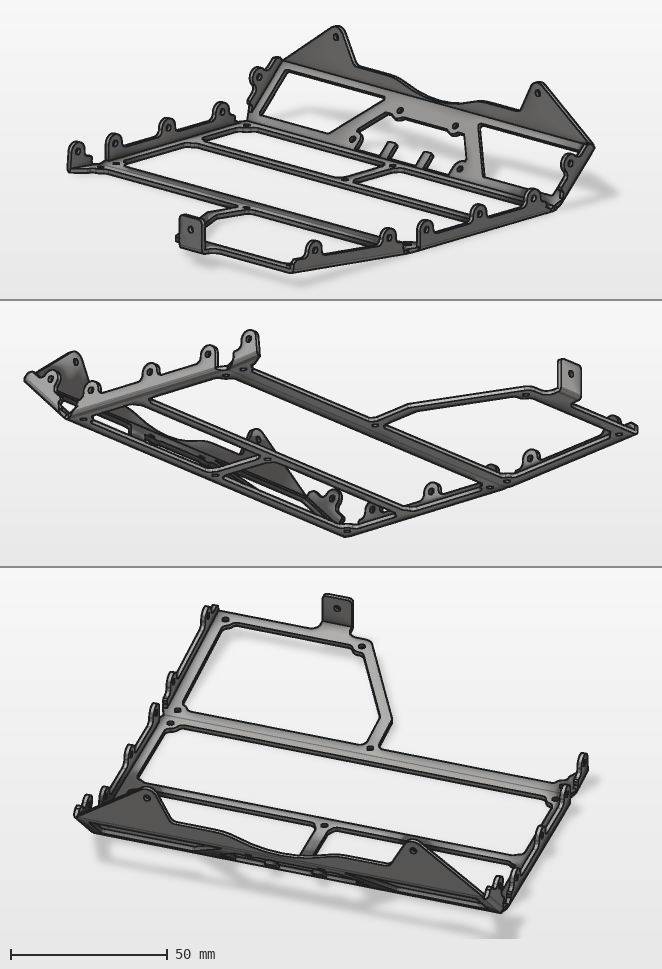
import cadquery as cq
import math


thickness = 1.5
overall_width = 140.0
overall_length = 145.0
overall_height = 34.0
half_width = overall_width / 2 - thickness

rear_bend_y = 54.5
front_bend_y = -12.6
rear_angle = 45.0
front_angle = 5.2

hole_diameter = 2.0
boss_radius = 3.0
corner_radius = 2.0
boss_x = 65.0
window_half_width = 65.4
post_half_width = 2.0

base_length = rear_bend_y - front_bend_y
rear_length = (overall_length / 2 - thickness - rear_bend_y) / math.cos(math.radians(rear_angle))

flange_height = 3.0
tab_hole_height = 5.2
start_corner = 0.6
end_corner = 1.3
bend_relief = 0.3
relief_run = 2.9
foot_rise = 1.2

base_rear_margin = 3.3
crossbar_front = 25.2
crossbar_rear = 28.7
base_front_edge = -9.1
rear_boss_y = 50.9
post_boss_y = 29.0
front_boss_y = -8.8

rear_window_low = 3.2
rear_window_high = 20.7
rear_window_low_x = 34.4
rear_window_high_x = 20.0
rear_window_radius = 0.9
bay_low = 0.6
bay_high = 15.7
bay_shoulder = 7.5
bay_half_top = 17.4
bay_half_width = 24.0
bay_half_mouth = 20.9
bay_radius = 0.9
bay_upper_boss = (12.3, 17.5)
bay_lower_boss = (23.9, 3.6)
finger_x = 8.0
finger_width = 3.5
finger_length = 6.2
finger_radius = 0.7

back_height = overall_height - thickness - rear_length * math.sin(math.radians(rear_angle))
ear_x = 45.0
ear_radius = 3.5
ear_foot_x = 36.8
ear_foot_radius = 2.5
back_flat_height = 4.6
valley_radius = 41.9
shoulder_radius = 20.3
valley_half_width = 15.0

front_length = 54.1
front_bar = 3.9
front_boss_near = 3.3
front_boss_far = 50.5
leg_boss_x = 19.0
leg_bend = 19.1
leg_slope = 1.83
leg_corner_radius = 3.5
front_window_x = 64.8
front_window_far = 50.0
arm_straight = 8.4
notch_radius = 1.5
front_tabs = [10.5, 44.5]
arm_length = front_tabs[0] + boss_radius
front_tab_x = 30.2
front_tab_width = 10.0
front_tab_height = 10.0
front_tab_hole = 6.0
front_tab_root_radius = 3.0
front_tab_corner = 1.5


def sheet(points):
    """Flat sheet with the given outline, its upper face at Z = 0."""
    return cq.Workplane("XY").polyline(points).close().extrude(-thickness)


def box_sheet(x_min, x_max, y_min, y_max):
    return sheet([(x_min, y_min), (x_max, y_min), (x_max, y_max), (x_min, y_max)])


def discs(centres, radius):
    return cq.Workplane("XY").pushPoints(centres).circle(radius).extrude(-thickness)


def opening(points, bosses=(), radius=corner_radius):
    """Sheet cutter that leaves round bosses standing and has rounded corners."""
    cutter = sheet(points)
    if bosses:
        cutter = cutter.cut(discs(bosses, boss_radius))
    return cutter.edges("|Z").fillet(radius)


def both_sides(points):
    return [(side * x, y) for x, y in points for side in (-1, 1)]


def mirrored(shape):
    return shape.union(shape.mirror("YZ"))


def fold(flat, angle, bend_y, x_min, x_max):
    """Fold a flat panel up by angle about the line Y = bend_y, adding the outer bend round."""
    half = math.radians(angle / 2)
    full = math.radians(angle)
    bend = (
        cq.Workplane("YZ", origin=(x_min, 0, 0))
        .moveTo(0, 0)
        .lineTo(0, -thickness)
        .threePointArc(
            (thickness * math.sin(half), -thickness * math.cos(half)),
            (thickness * math.sin(full), -thickness * math.cos(full)),
        )
        .close()
        .extrude(x_max - x_min)
    )
    folded = flat.rotate((0, 0, 0), (1, 0, 0), angle)
    return folded.union(bend).translate((0, bend_y, 0))


def side_flange(bend_end, start, end, tabs):
    """Upright flange on the +X edge with round drilled tabs, plus its rounded bend."""
    foot = bend_relief + relief_run
    outer_x = half_width + thickness
    bend = sheet([(half_width, bend_relief), (outer_x, foot), (outer_x, end), (half_width, bend_end)])
    bend_round = (
        cq.Workplane("XZ", origin=(half_width, 0, 0)).circle(thickness).extrude(-max(bend_end, end))
    )

    outline = (
        cq.Workplane("YZ", origin=(half_width, 0, 0))
        .moveTo(foot, 0)
        .lineTo(start, foot_rise)
        .lineTo(start, flange_height - start_corner)
        .lineTo(start + start_corner, flange_height)
    )
    arc_inset = corner_radius * (1 - math.sqrt(0.5))
    shoulder = flange_height + corner_radius
    ends_in_tab = False
    for centre in tabs:
        near = centre - boss_radius
        far = centre + boss_radius
        ends_in_tab = far >= end
        outline = (
            outline.lineTo(near - corner_radius, flange_height)
            .threePointArc((near - arc_inset, flange_height + arc_inset), (near, shoulder))
            .lineTo(near, tab_hole_height)
            .threePointArc((centre, tab_hole_height + boss_radius), (far, tab_hole_height))
        )
        if not ends_in_tab:
            outline = outline.lineTo(far, shoulder).threePointArc(
                (far + arc_inset, flange_height + arc_inset), (far + corner_radius, flange_height)
            )
    if not ends_in_tab:
        outline = outline.lineTo(end - end_corner, flange_height).lineTo(end, flange_height - end_corner)
    plate = outline.lineTo(end, 0).close().extrude(thickness)

    holes = (
        cq.Workplane("YZ", origin=(half_width, 0, 0))
        .pushPoints([(centre, tab_hole_height) for centre in tabs])
        .circle(hole_diameter / 2)
        .extrude(thickness)
    )
    return bend.intersect(bend_round).union(plate).cut(holes)


def base_panel():
    panel = box_sheet(-half_width, half_width, front_bend_y, rear_bend_y)
    rear_edge = rear_bend_y - base_rear_margin

    rear_window = opening(
        [
            (post_half_width, crossbar_rear),
            (window_half_width, crossbar_rear),
            (window_half_width, rear_edge),
            (post_half_width, rear_edge),
        ],
        [
            (0, rear_boss_y),
            (0, post_boss_y),
            (boss_x, rear_boss_y),
            (boss_x, (crossbar_front + crossbar_rear) / 2),
        ],
    )
    front_window = opening(
        [
            (-window_half_width, base_front_edge),
            (window_half_width, base_front_edge),
            (window_half_width, crossbar_front),
            (-window_half_width, crossbar_front),
        ],
        both_sides([(boss_x, front_boss_y), (boss_x, (crossbar_front + crossbar_rear) / 2)]),
    )
    holes = both_sides([(boss_x, rear_boss_y), (boss_x, front_boss_y)])
    holes += [(0, rear_boss_y), (0, post_boss_y)]
    panel = panel.cut(mirrored(rear_window)).cut(front_window).cut(discs(holes, hole_diameter / 2))

    tabs = [11.0, 35.7, 60.0]
    flange = side_flange(base_length - bend_relief, 5.2, tabs[-1] + boss_radius, tabs)
    flange = flange.mirror("XZ").translate((0, rear_bend_y, 0))
    return panel.union(mirrored(flange))


def back_plate():
    """Upper plate with two drilled ears and a shallow valley between them."""
    ear_y = back_height - ear_radius

    def tangent_point(corner_x, corner_y, side):
        """Point where a line from a corner touches the ear arc; side picks which of the two."""
        dx = corner_x - ear_x
        dy = corner_y - ear_y
        spread = math.acos(ear_radius / math.hypot(dx, dy))
        angle = math.atan2(dy, dx) + side * spread
        return (ear_x + ear_radius * math.cos(angle), ear_y + ear_radius * math.sin(angle))

    slope = math.asin(valley_half_width / valley_radius)
    valley_rise = valley_radius * (1 - math.cos(slope))
    shoulder_rise = shoulder_radius * (1 - math.cos(slope))
    valley_y = back_flat_height - valley_rise - shoulder_rise
    shoulder_x = valley_half_width + shoulder_radius * math.sin(slope)
    half_slope = slope / 2

    half = (
        cq.Workplane("XY")
        .moveTo(0, 0)
        .lineTo(half_width, 0)
        .lineTo(*tangent_point(half_width, 0, 1))
        .threePointArc((ear_x, back_height), tangent_point(ear_foot_x, back_flat_height, -1))
        .lineTo(ear_foot_x, back_flat_height)
        .lineTo(shoulder_x, back_flat_height)
        .threePointArc(
            (
                shoulder_x - shoulder_radius * math.sin(half_slope),
                back_flat_height - shoulder_radius * (1 - math.cos(half_slope)),
            ),
            (valley_half_width, valley_y + valley_rise),
        )
        .threePointArc(
            (
                valley_radius * math.sin(half_slope),
                valley_y + valley_radius * (1 - math.cos(half_slope)),
            ),
            (0, valley_y),
        )
        .close()
        .extrude(-thickness)
    )
    ear_foot = cq.selectors.NearestToPointSelector((ear_foot_x, back_flat_height, -thickness / 2))
    half = half.edges(ear_foot).fillet(ear_foot_radius)
    return mirrored(half.cut(discs([(ear_x, ear_y)], hole_diameter / 2)))


def rear_panel():
    panel = box_sheet(-half_width, half_width, 0, rear_length)
    window = opening(
        [
            (rear_window_low_x, rear_window_low),
            (window_half_width, rear_window_low),
            (window_half_width, rear_window_high),
            (rear_window_high_x, rear_window_high),
        ],
        radius=rear_window_radius,
    )

    bay_side = [
        (bay_half_mouth, bay_low),
        (bay_half_mouth, bay_lower_boss[1]),
        (bay_half_width, bay_lower_boss[1]),
        (bay_half_width, bay_shoulder),
        (bay_half_top, bay_high),
    ]
    bay_outline = bay_side + [(-x, y) for x, y in reversed(bay_side)]
    bay_bosses = both_sides([bay_upper_boss, bay_lower_boss])
    bay = sheet(bay_outline).cut(discs(bay_bosses, boss_radius))
    bay = bay.edges(cq.selectors.BoxSelector(
        (-half_width, bay_shoulder + bay_radius, -thickness), (half_width, rear_length, 0)
    )).edges("|Z").fillet(bay_radius)
    finger = box_sheet(finger_x - finger_width / 2, finger_x + finger_width / 2, 0, finger_length)
    finger = finger.edges("|Z and >Y").fillet(finger_radius)
    bay = bay.cut(mirrored(finger))

    panel = panel.cut(mirrored(window)).cut(bay).cut(discs(bay_bosses, hole_diameter / 2))
    flange = side_flange(rear_length, 5.0, rear_length, [13.5])
    back = fold(back_plate(), 90 - rear_angle, rear_length, -half_width, half_width)
    return panel.union(mirrored(flange)).union(back)


def front_tab():
    """Upright drilled tab at the front edge."""
    x_min = front_tab_x - front_tab_width / 2
    x_max = front_tab_x + front_tab_width / 2
    tab = box_sheet(x_min, x_max, 0, front_tab_height).edges("|Z and >Y").fillet(front_tab_corner)
    return tab.cut(discs([(front_tab_x, front_tab_hole)], hole_diameter / 2))


def front_panel():
    """Front panel laid out as if running along +Y; it is mirrored into place."""
    tilt = math.radians(front_angle)
    tab_bend = (overall_length / 2 - thickness + front_bend_y) / math.cos(tilt)
    tab_min = front_tab_x - front_tab_width / 2
    tab_max = front_tab_x + front_tab_width / 2

    leg_end_x = (front_length - leg_bend) / leg_slope - post_half_width
    panel = sheet(
        [
            (-half_width, 0),
            (half_width, 0),
            (half_width, front_length),
            (tab_max, front_length),
            (tab_max, tab_bend),
            (tab_min, tab_bend),
            (tab_min, front_length),
            (leg_end_x, front_length),
            (-post_half_width, leg_bend),
            (-post_half_width, arm_length),
            (-half_width, arm_length),
        ]
    )
    rounded_corners = [
        (tab_max, front_length, front_tab_root_radius),
        (tab_min, front_length, front_tab_root_radius),
        (leg_end_x, front_length, leg_corner_radius),
        (-post_half_width, leg_bend, corner_radius),
    ]
    for x, y, radius in rounded_corners:
        corner = cq.selectors.NearestToPointSelector((x, y, -thickness / 2))
        panel = panel.edges(corner).fillet(radius)

    notch_far = 2 * arm_length
    arm_slope = (half_width - window_half_width) / (arm_length - arm_straight)
    notch = opening(
        [
            (-window_half_width, front_bar),
            (-post_half_width, front_bar),
            (-post_half_width, notch_far),
            (-window_half_width - arm_slope * (notch_far - arm_straight), notch_far),
            (-window_half_width, arm_straight),
        ],
        [(-boss_x, front_boss_near), (0, front_boss_near)],
        notch_radius,
    )
    panel = panel.cut(notch)

    window_bosses = [
        (0, front_boss_near),
        (boss_x, front_boss_near),
        (boss_x, front_boss_far),
        (leg_boss_x, front_boss_far),
    ]
    window = opening(
        [
            (post_half_width, front_bar),
            (front_window_x, front_bar),
            (front_window_x, front_window_far),
            (post_half_width + (front_window_far - leg_bend) / leg_slope, front_window_far),
            (post_half_width, leg_bend),
        ],
        window_bosses,
    )
    holes = window_bosses + [(-boss_x, front_boss_near)]
    panel = panel.cut(window).cut(discs(holes, hole_diameter / 2))

    long_flange = side_flange(front_length, 3.8, front_length, front_tabs)
    short_flange = side_flange(arm_length, 3.8, arm_length, front_tabs[:1]).mirror("YZ")
    tab = fold(front_tab(), 90 - front_angle, tab_bend, tab_min, tab_max)
    return panel.union(long_flange).union(short_flange).union(tab)


rear = fold(rear_panel(), rear_angle, rear_bend_y, -half_width, half_width)
front = fold(front_panel(), front_angle, -front_bend_y, -half_width, half_width).mirror("XZ")
result = base_panel().union(rear).union(front).translate((0, 0, thickness))